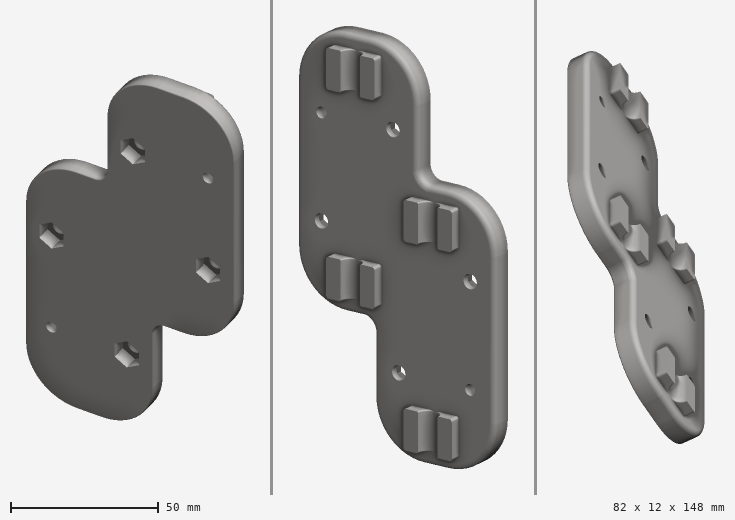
import cadquery as cq
import math

lobe_width = 50.0
lobe_height = 100.0
lobe_corner_radius = 20.0
overall_width = 82.0
overall_height = 148.0
lobe_center_x = (overall_width - lobe_width) / 2
lobe_center_z = (overall_height - lobe_height) / 2
inner_corner_radius = 5.0

plate_thickness = 8.0
front_edge_radius = 0.5
back_edge_radius = 2.0

hole_spacing_x = 29.6
hole_spacing_z = 38.9
bolt_hole_diameter = 5.5
small_hole_diameter = 4.2
hexagon_sides = 6
nut_across_flats = 9.6
nut_pocket_depth = 5.5

block_width = 20.0
block_height = 15.0
block_depth = 4.0
block_embed = 2.0
block_end_gap = 5.0
block_corner_radius = 1.0
block_offset_z = lobe_height / 2 - block_end_gap - block_height / 2
groove_diameter = 8.0
groove_end_radius = 0.5

lobe_signs = (1, -1)


def on_plane(y):
    """Workplane at depth y, with local x along X, local y along Z and normal toward -Y."""
    return cq.Workplane("XZ", origin=(0, y, 0))


def make_plate():
    plate = None
    for sign in lobe_signs:
        lobe = (
            on_plane(plate_thickness)
            .center(sign * lobe_center_x, sign * lobe_center_z)
            .rect(lobe_width, lobe_height)
            .extrude(plate_thickness)
            .edges("|Y")
            .fillet(lobe_corner_radius)
        )
        plate = lobe if plate is None else plate.union(lobe)

    corner_x = lobe_width / 2 - lobe_center_x
    corner_z = lobe_height / 2 - lobe_center_z
    for sign in lobe_signs:
        corner_point = (-sign * corner_x, plate_thickness / 2, sign * corner_z)
        corner = cq.selectors.NearestToPointSelector(corner_point)
        plate = plate.edges("|Y").edges(corner).fillet(inner_corner_radius)

    plate = plate.faces("<Y").edges().fillet(front_edge_radius)
    return plate.faces(">Y").edges().fillet(back_edge_radius)


def make_block(x, z):
    block_back = plate_thickness + block_depth
    block = (
        on_plane(block_back)
        .center(x, z)
        .rect(block_width, block_height)
        .extrude(block_depth + block_embed)
        .edges("|Y")
        .fillet(block_corner_radius)
    )
    groove = (
        cq.Workplane("XY", origin=(x, block_back, z - block_height / 2))
        .circle(groove_diameter / 2)
        .extrude(block_height)
    )
    block = block.cut(groove)
    return block.edges("%CIRCLE and (<Z or >Z)").fillet(groove_end_radius)


def add_blocks(part):
    for sign in lobe_signs:
        for end in (1, -1):
            block_z = sign * lobe_center_z + end * block_offset_z
            part = part.union(make_block(sign * lobe_center_x, block_z))
    return part


def cut_holes(part):
    nut_across_corners = nut_across_flats / math.cos(math.pi / hexagon_sides)
    bolt_points = []
    small_points = []
    for sign in lobe_signs:
        inner_x = sign * (lobe_center_x - hole_spacing_x / 2)
        outer_x = sign * (lobe_center_x + hole_spacing_x / 2)
        near_z = sign * (lobe_center_z - hole_spacing_z / 2)
        far_z = sign * (lobe_center_z + hole_spacing_z / 2)
        bolt_points += [(inner_x, far_z), (outer_x, near_z)]
        small_points.append((outer_x, far_z))

    back = on_plane(plate_thickness)
    bolt_holes = back.pushPoints(bolt_points).circle(bolt_hole_diameter / 2).extrude(plate_thickness)
    small_holes = back.pushPoints(small_points).circle(small_hole_diameter / 2).extrude(plate_thickness)
    hexagon = cq.Sketch().regularPolygon(nut_across_corners / 2, hexagon_sides)
    pocket_floor = on_plane(nut_pocket_depth).pushPoints(bolt_points)
    nut_pockets = pocket_floor.placeSketch(hexagon).extrude(nut_pocket_depth)
    return part.cut(bolt_holes).cut(small_holes).cut(nut_pockets)


result = cut_holes(add_blocks(make_plate()))